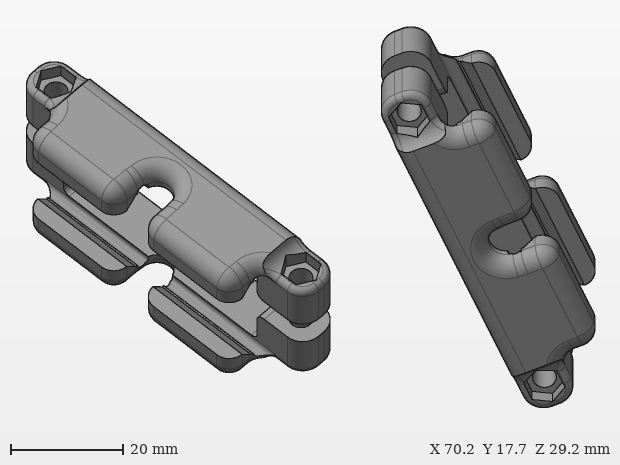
import cadquery as cq
import math

length = 70.2
depth = 17.7
half_height = 12.0
total_height = 29.2
back_y = depth / 2
front_y = -depth / 2
joint_z = total_height / 2 - half_height
top_z = total_height / 2

body_half_length = 25.1
ear_width = 9.3
ear_front_y = back_y - ear_width
ear_corner_radius = 3.9
neck_radius = 3.45
corner_radius = 3.2
slot_radius = 3.1
slot_center_setback = 10.2
slot_center_y = back_y - slot_center_setback
taper_length = 1.55
mouth_half_width = 3.2

body_edge_radius = 3.15
ear_drop = 2.5
ear_top_z = top_z - ear_drop
scallop_radius = neck_radius
ear_edge_radius = 1.25

hole_diameter = 4.3
hole_x = 30.05
hole_setback = 4.6
hole_y = back_y - hole_setback
nut_across_flats = 6.4
nut_depth = 2.8

column_inner_x = 23.75
plate_thickness = 4.4
plate_z = top_z - plate_thickness
column_round = 1.75
column_foot_radius = 1.4
groove_radius = 1.25
groove_center_depth = 4.0
rim_depth = 6.3
rim_width = 3.15
slope_rise = rim_depth - groove_center_depth

tolerance = 0.01
overlap = 0.7


def plan_outline():
    """Half clamp seen from above: two ears, a wide middle and a U-shaped slot."""
    diagonal = math.cos(math.pi / 4)
    ear_end = length / 2
    neck_x = body_half_length + neck_radius
    neck_y = ear_front_y - neck_radius
    neck_mid = neck_radius * (1 - diagonal)
    ear_mid = ear_corner_radius * (1 - diagonal)
    corner_mid = corner_radius * (1 - diagonal)
    ear_x = ear_end - ear_corner_radius
    corner_x = body_half_length - corner_radius
    lip_x = mouth_half_width + corner_radius
    corner_y = front_y + corner_radius
    right_half = (
        cq.Workplane("XY", origin=(0, 0, joint_z))
        .moveTo(0, back_y)
        .lineTo(ear_x, back_y)
        .threePointArc((ear_end - ear_mid, back_y - ear_mid), (ear_end, back_y - ear_corner_radius))
        .lineTo(ear_end, ear_front_y + ear_corner_radius)
        .threePointArc((ear_end - ear_mid, ear_front_y + ear_mid), (ear_x, ear_front_y))
        .lineTo(neck_x, ear_front_y)
        .threePointArc((body_half_length + neck_mid, ear_front_y - neck_mid), (body_half_length, neck_y))
        .lineTo(body_half_length, corner_y)
        .threePointArc((body_half_length - corner_mid, front_y + corner_mid), (corner_x, front_y))
        .lineTo(lip_x, front_y)
        .threePointArc((mouth_half_width + corner_mid, front_y + corner_mid), (mouth_half_width, corner_y))
        .lineTo(mouth_half_width, slot_center_y - taper_length)
        .lineTo(slot_radius, slot_center_y)
        .threePointArc((slot_radius * diagonal, slot_center_y + slot_radius * diagonal),
                       (0, slot_center_y + slot_radius))
    )
    return right_half.mirrorY()


def scallop(side):
    """Tool that lowers an ear and blends it up to the body with a concave arc."""
    center_z = ear_top_z + scallop_radius
    run = math.sqrt(scallop_radius**2 - (scallop_radius - ear_drop) ** 2)
    floor_x = body_half_length + run
    half_angle = math.acos((scallop_radius - ear_drop) / scallop_radius) / 2
    return (
        cq.Workplane("XZ", origin=(0, back_y + overlap, 0))
        .moveTo(side * body_half_length, top_z)
        .threePointArc(
            (side * (floor_x - scallop_radius * math.sin(half_angle)),
             center_z - scallop_radius * math.cos(half_angle)),
            (side * floor_x, ear_top_z))
        .lineTo(side * (length / 2 + overlap), ear_top_z)
        .lineTo(side * (length / 2 + overlap), top_z + overlap)
        .lineTo(side * body_half_length, top_z + overlap)
        .close()
        .extrude(depth + 2 * overlap)
    )


def end_blocks():
    """Blocks that span the two ears, up to where the necks begin."""
    neck_x = body_half_length + neck_radius
    whole = cq.Workplane("XY").box(length + 2 * overlap, 2 * depth, 2 * total_height)
    middle = cq.Workplane("XY").box(2 * neck_x, 2 * depth, 2 * total_height)
    return whole.cut(middle)


def is_ear_edge(edge):
    """True for the edges around an ear and along its scallop, from body top to ear top."""
    center = edge.Center()
    box = edge.BoundingBox()
    is_outside_body = abs(center.x) > body_half_length + tolerance
    is_high = box.zmin > ear_top_z - tolerance
    is_across = edge.geomType() == "LINE" and box.ylen > ear_width - 2 * ear_corner_radius + tolerance
    return is_outside_body and is_high and not is_across


def scalloped_blank():
    """Full outline with lowered ears and the small rounding around them."""
    blank = plan_outline().extrude(half_height)
    for side in (-1, 1):
        blank = blank.cut(scallop(side))
    ear_edges = [edge for edge in blank.edges().vals() if is_ear_edge(edge)]
    return blank.newObject(ear_edges).fillet(ear_edge_radius)


def outer_shape():
    """Solid clamp half: large rounding on the middle portion, small rounding on the ears."""
    blank = plan_outline().extrude(half_height)
    rounded_body = blank.faces(">Z").edges().fillet(body_edge_radius)
    square_ears = blank.intersect(end_blocks())
    return rounded_body.union(square_ears).intersect(scalloped_blank())


def plate_hollow():
    """Tool for the space between the columns, under the flat plate."""
    return (
        cq.Workplane("XZ", origin=(0, back_y + overlap, 0))
        .moveTo(-column_inner_x - column_round, joint_z)
        .radiusArc((-column_inner_x, joint_z + column_round), -column_round)
        .lineTo(-column_inner_x, plate_z - column_foot_radius)
        .radiusArc((-column_inner_x + column_foot_radius, plate_z), column_foot_radius)
        .lineTo(column_inner_x - column_foot_radius, plate_z)
        .radiusArc((column_inner_x, plate_z - column_foot_radius), column_foot_radius)
        .lineTo(column_inner_x, joint_z + column_round)
        .radiusArc((column_inner_x + column_round, joint_z), -column_round)
        .close()
        .extrude(ear_width + overlap)
    )


def groove_hollow():
    """Tool for the round-bottomed groove, the slope and the space under the lip."""
    groove_z = top_z - groove_center_depth
    rim_z = top_z - rim_depth
    groove_front_y = ear_front_y - 2 * groove_radius
    rim_y = front_y + rim_width
    return (
        cq.Workplane("YZ", origin=(-length / 2, 0, 0))
        .moveTo(ear_front_y, joint_z - overlap)
        .lineTo(ear_front_y, groove_z)
        .threePointArc((ear_front_y - groove_radius, groove_z + groove_radius), (groove_front_y, groove_z))
        .lineTo(rim_y + slope_rise, groove_z)
        .lineTo(rim_y, rim_z)
        .lineTo(front_y - overlap, rim_z)
        .lineTo(front_y - overlap, joint_z - overlap)
        .close()
        .extrude(length)
    )


def screw_holes():
    """Through holes with hexagonal nut pockets, one in each ear."""
    spots = [(-hole_x, hole_y), (hole_x, hole_y)]
    nut_corner_diameter = nut_across_flats / math.cos(math.pi / 6)
    holes = (
        cq.Workplane("XY", origin=(0, 0, joint_z - overlap))
        .pushPoints(spots)
        .circle(hole_diameter / 2)
        .extrude(half_height + overlap)
    )
    pockets = (
        cq.Workplane("XY", origin=(0, 0, ear_top_z - nut_depth))
        .pushPoints(spots)
        .polygon(6, nut_corner_diameter)
        .extrude(nut_depth + ear_drop)
    )
    return holes.union(pockets)


upper_half = (
    outer_shape()
    .cut(plate_hollow())
    .cut(groove_hollow())
    .cut(screw_holes())
)
lower_half = upper_half.mirror("XY")

result = cq.Compound.makeCompound([upper_half.val(), lower_half.val()])